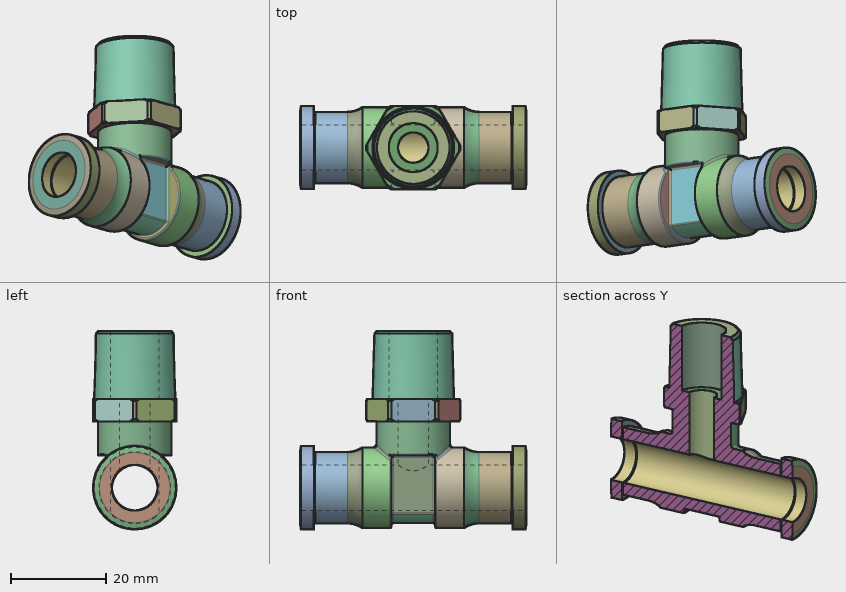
import cadquery as cq
import math

run_half_length = 23.85
run_bore_radius = 4.75
body_radius = 8.5
body_half_length = 10.7
neck_radius = 7.55
neck_start = 13.85
collar_radius = 8.75
collar_thickness = 2.95
collar_gap = 0.25
gap_floor_radius = 4.95
face_radius = 7.4
face_bevel_depth = 0.25

branch_top = 33.0
stem_radius = 7.75
thread_base_radius = 8.6
thread_tip_radius = 8.2
thread_bevel_height = 0.6
thread_bevel_width = 0.55
branch_bore_radius = 3.2
counterbore_radius = 5.15

hex_bottom = 13.95
hex_top = 18.7
hex_across_flats = 2 * collar_radius
hex_corner_radius = 9.9
hex_bevel_radius = 9.65
hex_bevel_drop = 0.45

waist_half_width = 4.62
waist_top = 6.75
waist_radius = 7.45
waist_flat_offset = 5.05
waist_floor_fillet = 0.45
waist_rim_fillet = 0.3
joint_fillet = 0.55


def cylinder_z(radius, bottom, top):
    return cq.Workplane("XY").workplane(offset=bottom).circle(radius).extrude(top - bottom)


def run_half_profile():
    """Outline of the right half of the run, as (distance along X, radius)."""
    rise = body_radius - neck_radius
    flare_length = neck_start - body_half_length
    flare_radius = (flare_length**2 + rise**2) / (2 * rise)
    half_sweep = math.asin(flare_length / flare_radius) / 2
    flare_middle = (
        neck_start - flare_radius * math.sin(half_sweep),
        neck_radius + flare_radius * (1 - math.cos(half_sweep)),
    )
    collar_start = run_half_length - collar_thickness
    gap_start = collar_start - collar_gap
    return (
        cq.Workplane("XY")
        .lineTo(0, body_radius)
        .lineTo(body_half_length, body_radius)
        .threePointArc(flare_middle, (neck_start, neck_radius))
        .lineTo(gap_start, neck_radius)
        .lineTo(gap_start, gap_floor_radius)
        .lineTo(collar_start, gap_floor_radius)
        .lineTo(collar_start, collar_radius)
        .lineTo(run_half_length - face_bevel_depth, collar_radius)
        .lineTo(run_half_length, face_radius)
        .lineTo(run_half_length, 0)
        .close()
    )


def make_run_half():
    return run_half_profile().revolve(360, (0, 0, 0), (1, 0, 0))


def make_waist_cutter():
    """Block around the middle of the run, less the flat-sided core that stays."""
    width = 2 * waist_half_width
    reach = 2 * body_radius
    block = cq.Workplane("XY").box(width, 2 * reach, waist_top + reach)
    block = block.translate((0, 0, (waist_top - reach) / 2))
    flats = cq.Workplane("XY").box(width, 2 * waist_flat_offset, 2 * reach)
    round_core = cq.Workplane("YZ").circle(waist_radius).extrude(waist_half_width, both=True)
    upper_core = cq.Workplane("XY").box(width, 2 * waist_flat_offset, reach).translate((0, 0, reach / 2))
    core = flats.intersect(round_core).union(upper_core)
    cutter = block.cut(core)
    core_region = cq.selectors.BoxSelector(
        (-width, -body_radius, -body_radius),
        (width, body_radius, body_radius),
        boundingbox=False,
    )
    return cutter.edges(core_region).fillet(waist_floor_fillet)


def round_stem_joint(tee):
    """Fillet the saddle curve where the stem meets the run."""
    return tee.edges("%BSPLINE").fillet(joint_fillet)


def is_waist_rim(edge):
    """True for the circular edges that the waist recess cuts into the run and the stem."""
    centre = edge.arcCenter()
    on_run = math.isclose(edge.radius(), body_radius) and math.isclose(abs(centre.x), waist_half_width)
    on_stem = math.isclose(edge.radius(), stem_radius) and math.isclose(centre.z, waist_top)
    return on_run or on_stem


def round_waist_rims(tee):
    return tee.edges("%CIRCLE").filter(is_waist_rim).fillet(waist_rim_fillet)


def make_thread():
    bevel_start = branch_top - thread_bevel_height
    return (
        cq.Workplane("XZ")
        .moveTo(0, hex_top)
        .lineTo(thread_base_radius, hex_top)
        .lineTo(thread_tip_radius, bevel_start)
        .lineTo(thread_tip_radius - thread_bevel_width, branch_top)
        .lineTo(0, branch_top)
        .close()
        .revolve(360, (0, 0, 0), (0, 1, 0))
    )


def make_hex():
    """Hexagonal prism with its corners turned round and bevelled at both ends."""
    corner_diameter = hex_across_flats / math.cos(math.pi / 6)
    prism = (
        cq.Workplane("XY")
        .workplane(offset=hex_bottom)
        .polygon(6, corner_diameter)
        .extrude(hex_top - hex_bottom)
    )
    envelope = (
        cq.Workplane("XZ")
        .moveTo(0, hex_bottom)
        .lineTo(hex_bevel_radius, hex_bottom)
        .lineTo(hex_corner_radius, hex_bottom + hex_bevel_drop)
        .lineTo(hex_corner_radius, hex_top - hex_bevel_drop)
        .lineTo(hex_bevel_radius, hex_top)
        .lineTo(0, hex_top)
        .close()
        .revolve(360, (0, 0, 0), (0, 1, 0))
    )
    return prism.intersect(envelope)


half = make_run_half()
tee = half.union(half.mirror("YZ")).union(cylinder_z(stem_radius, 0, hex_bottom))
tee = round_stem_joint(tee)
tee = tee.cut(make_waist_cutter())
tee = round_waist_rims(tee)
run_bore = cq.Workplane("YZ").circle(run_bore_radius).extrude(run_half_length, both=True)
branch_bore = cylinder_z(branch_bore_radius, 0, branch_top)
counterbore = cylinder_z(counterbore_radius, hex_top, branch_top)

result = tee.union(make_hex()).union(make_thread())
result = result.cut(run_bore).cut(branch_bore).cut(counterbore)